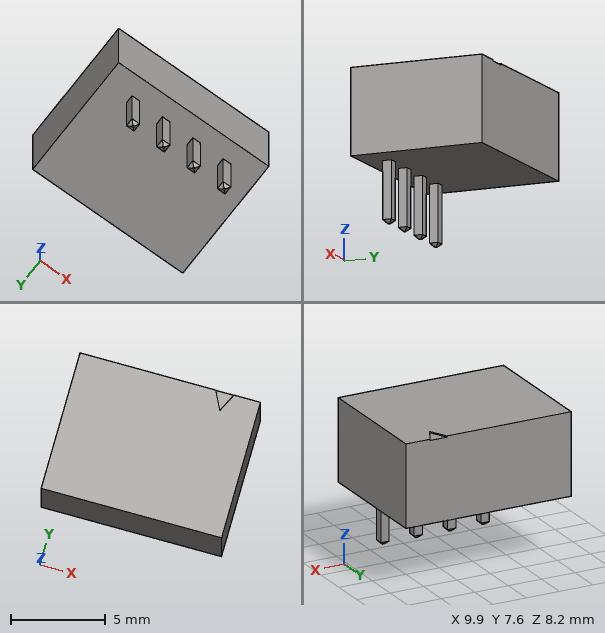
import cadquery as cq

housing_length = 9.9
housing_width = 7.6
housing_height = 4.8

pin_count = 4
pin_pitch = 2.0
pin_side = 0.5
pin_length = 3.4
pin_row_inset = 1.35
tip_height = 0.2
tip_side = 0.1

marker_width = 1.0
marker_reach = 1.0
marker_depth = 0.07

pin_row_y = -housing_width / 2 + pin_row_inset
pin_row_length = (pin_count - 1) * pin_pitch
last_pin_x = pin_row_length / 2


def make_housing():
    block = cq.Workplane("XY").box(
        housing_length, housing_width, housing_height, centered=(True, True, False)
    )
    back_y = housing_width / 2
    marker = (
        cq.Workplane("XY", origin=(last_pin_x, back_y, housing_height))
        .moveTo(-marker_width / 2, 0)
        .lineTo(marker_width / 2, 0)
        .lineTo(0, -marker_reach)
        .close()
        .extrude(-marker_depth)
    )
    return block.cut(marker)


def make_pin(x):
    """Square pin hanging from the housing underside, tapering at its free end."""
    shank_length = pin_length - tip_height
    shank = (
        cq.Workplane("XY", origin=(x, pin_row_y, 0))
        .rect(pin_side, pin_side)
        .extrude(-shank_length)
    )
    tip = (
        cq.Workplane("XY", origin=(x, pin_row_y, -shank_length))
        .rect(pin_side, pin_side)
        .workplane(offset=-tip_height)
        .rect(tip_side, tip_side)
        .loft(ruled=True)
    )
    return shank.union(tip)


housing = make_housing()
pins = [make_pin(i * pin_pitch - last_pin_x) for i in range(pin_count)]

result = cq.Compound.makeCompound([housing.val(), *[pin.val() for pin in pins]])